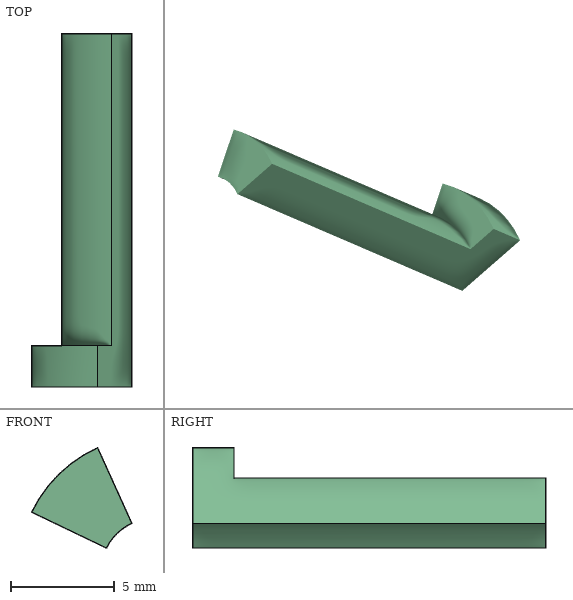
import cadquery as cq
import math

bore_radius = 2.5
shaft_radius = 4.9
head_radius = 6.5
head_length = 2.0
shaft_length = 15.0
overall_length = head_length + shaft_length

sector_sweep = 40.0
sector_middle = 134.35
sector_start = sector_middle - sector_sweep / 2
sector_end = sector_middle + sector_sweep / 2


def polar_point(radius, angle):
    """Point in the XZ plane at a radius and angle about the Y axis."""
    angle_radians = math.radians(angle)
    return (radius * math.cos(angle_radians), radius * math.sin(angle_radians))


def ring_sector(outer_radius, length):
    """Ring sector with its front face at Y = 0, extending towards +Y."""
    return (
        cq.Workplane("XZ")
        .moveTo(*polar_point(bore_radius, sector_start))
        .lineTo(*polar_point(outer_radius, sector_start))
        .threePointArc(
            polar_point(outer_radius, sector_middle),
            polar_point(outer_radius, sector_end),
        )
        .lineTo(*polar_point(bore_radius, sector_end))
        .threePointArc(
            polar_point(bore_radius, sector_middle),
            polar_point(bore_radius, sector_start),
        )
        .close()
        .extrude(-length)
    )


shaft = ring_sector(shaft_radius, overall_length)
head = ring_sector(head_radius, head_length)

result = shaft.union(head).clean()